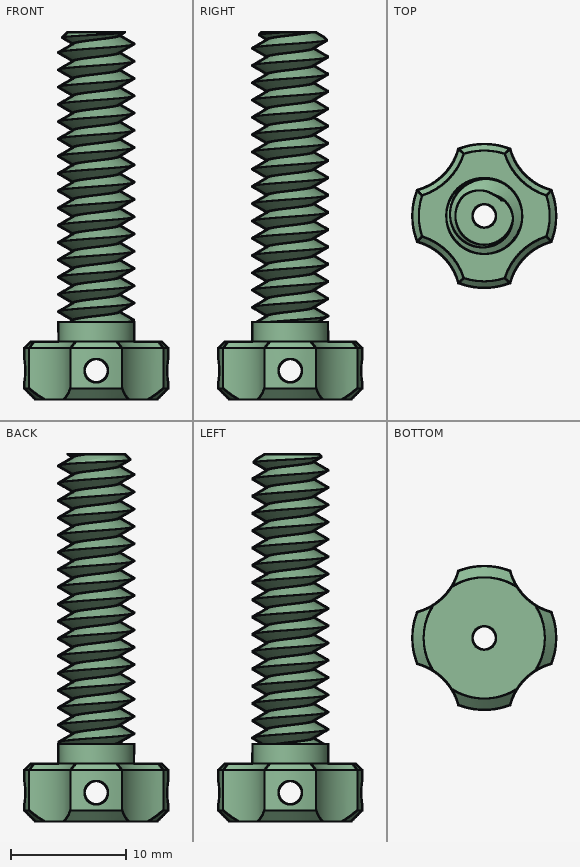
import cadquery as cq
import math

total_height = 31.88
bore_diameter = 2.0

head_diameter = 12.5
head_height = 5.05
head_top_chamfer = 0.57
head_bottom_chamfer = 1.0
cross_hole_height = head_height / 2
lobe_count = 4
lobe_width = 4.5
scallop_radius = 5.0

shank_diameter = 6.6
collar_top = 6.75
first_crest_height = 6.9
thread_pitch = 1.5
thread_depth = 1.28
root_flat = 0.03
tip_chamfer = 0.8
overlap = 0.15
trim_margin = 0.15

head_radius = head_diameter / 2
shank_radius = shank_diameter / 2
root_radius = shank_radius - thread_depth


def make_head():
    """Four-lobed grip: a disc with round scallops between the lobes."""
    disc = cq.Workplane("XY").circle(head_radius).extrude(head_height)
    disc = disc.faces("<Z").chamfer(head_bottom_chamfer)

    corner_angle = math.pi / lobe_count - math.asin(lobe_width / 2 / head_radius)
    half_chord = head_radius * math.sin(corner_angle)
    scallop_distance = (
        head_radius * math.cos(corner_angle) + math.sqrt(scallop_radius**2 - half_chord**2)
    )
    scallops = (
        cq.Workplane("XY")
        .polarArray(scallop_distance, 180 / lobe_count, 360, lobe_count)
        .circle(scallop_radius)
        .extrude(head_height)
    )
    return disc.cut(scallops).faces(">Z").edges().chamfer(head_top_chamfer)


def make_ridge():
    """Right-handed V ridge of one-turn ruled faces, with the seam between turns on the -Y side."""
    start_height = first_crest_height - thread_pitch / 4 - thread_pitch
    turns = math.ceil((total_height - start_height) / thread_pitch) + 1
    half_base = (thread_pitch - root_flat) / 2
    profile = [
        (root_radius - overlap, -half_base),
        (root_radius, -half_base),
        (shank_radius, 0),
        (root_radius, half_base),
        (root_radius - overlap, half_base),
    ]
    helices = [
        cq.Wire.makeHelix(thread_pitch, thread_pitch, radius, center=cq.Vector(0, 0, rise))
        for radius, rise in profile
    ]
    turn_faces = [
        cq.Face.makeRuledSurface(helices[i - 1], helix).Faces()[0] for i, helix in enumerate(helices)
    ]
    end_outline = cq.Workplane("XZ").polyline(profile).close().val()
    end_face = cq.Face.makeFromWires(end_outline)
    faces = [end_face, end_face.translate(cq.Vector(0, 0, turns * thread_pitch))]
    for turn in range(turns):
        rise = cq.Vector(0, 0, turn * thread_pitch)
        faces += [face.translate(rise) for face in turn_faces]
    ridge = cq.Workplane(cq.Solid.makeSolid(cq.Shell.makeShell(faces)))
    return ridge.rotate((0, 0, 0), (0, 0, 1), -90).translate((0, 0, start_height))


def make_thread():
    """Threaded core, cut square at the collar and chamfered at the tip."""
    core = cq.Workplane("XY").circle(root_radius).extrude(total_height)
    base = cq.Workplane("XY").workplane(offset=collar_top)
    envelope = base.circle(shank_radius + trim_margin).extrude(total_height - collar_top)
    envelope = envelope.faces(">Z").chamfer(tip_chamfer + trim_margin)
    return core.union(make_ridge().intersect(envelope))


def cut_holes(body):
    """Bore along the axis and one cross hole through each pair of opposite lobes."""
    bore = cq.Workplane("XY").circle(bore_diameter / 2).extrude(total_height)
    body = body.cut(bore)
    for plane in ("XZ", "YZ"):
        cross_hole = (
            cq.Workplane(plane)
            .center(0, cross_hole_height)
            .circle(bore_diameter / 2)
            .extrude(head_radius, both=True)
        )
        body = body.cut(cross_hole)
    return body


collar = cq.Workplane("XY").circle(shank_radius).extrude(collar_top)
result = cut_holes(make_head().union(collar).union(make_thread()))